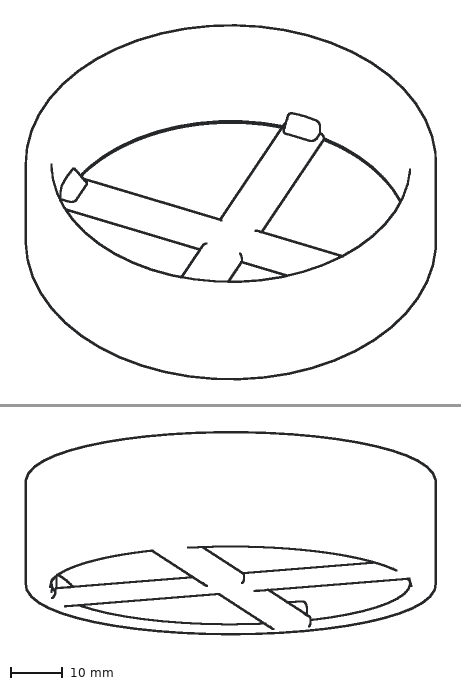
import cadquery as cq

outer_diameter = 79.5
inner_diameter = 69.5
height = 22.0
ring_fillet = 1.0

bar_width = 8.5
bar_thickness = 2.0
bar_fillet = 0.8

gusset_size = 3.0
gusset_fillet = 0.95
gusset_width = bar_width - 2 * bar_fillet

inner_radius = inner_diameter / 2
wall = (outer_diameter - inner_diameter) / 2
embedded_radius = inner_radius + wall / 2


def make_ring():
    """Plain ring with all four circular edges rounded."""
    ring = cq.Workplane("XY").circle(outer_diameter / 2).circle(inner_radius).extrude(height)
    return ring.edges("%CIRCLE").fillet(ring_fillet)


def make_cross():
    """Two crossed bars with rounded long edges."""
    length = 2 * embedded_radius
    bar_x = cq.Workplane("XY").box(length, bar_width, bar_thickness, centered=(True, True, False))
    bar_y = bar_x.rotate((0, 0, 0), (0, 0, 1), 90)
    cross = bar_x.union(bar_y)
    return cross.faces("<Z or >Z").edges().fillet(bar_fillet)


def make_gusset():
    """45 degree wedge on the +X bar, rounded along both sides of its slope."""
    overlap = embedded_radius - inner_radius
    wedge = (
        cq.Workplane("XZ", origin=(0, gusset_width / 2, bar_thickness))
        .moveTo(inner_radius - gusset_size, 0)
        .lineTo(embedded_radius, gusset_size + overlap)
        .lineTo(embedded_radius, 0)
        .close()
        .extrude(gusset_width)
    )
    return wedge.faces("<(1, 0, -1)").edges("not |Y").fillet(gusset_fillet)


result = make_ring().union(make_cross())
gusset = make_gusset()
for angle in (0, 90, 180, 270):
    result = result.union(gusset.rotate((0, 0, 0), (0, 0, 1), angle))